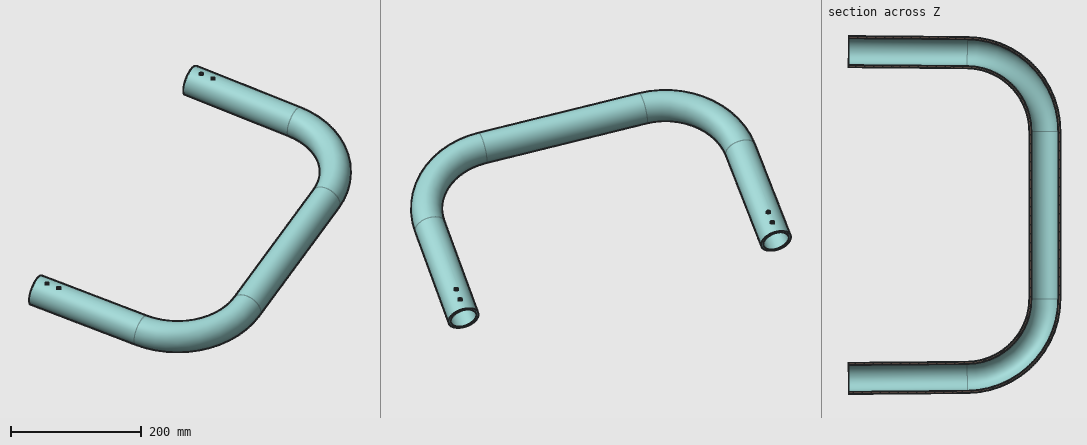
import cadquery as cq
import math

tube_diameter = 48.0
wall = 4.0

overall_width = 548.5
overall_depth = 324.5
bend_radius = 120.0
splay_angle = math.radians(0.5)

hole_diameter = 6.0
hole_distances = (18.5, 39.0)

tube_radius = tube_diameter / 2
crossbar_x = overall_depth / 2 - tube_radius
bend_center_x = crossbar_x - bend_radius
tangent_x = bend_center_x + bend_radius * math.sin(splay_angle)

end_x = -overall_depth / 2 + tube_radius * math.sin(splay_angle)
end_y = overall_width / 2 - tube_radius * math.cos(splay_angle)
leg_length = (tangent_x - end_x) / math.cos(splay_angle)
tangent_y = end_y - leg_length * math.sin(splay_angle)
bend_center_y = tangent_y - bend_radius * math.cos(splay_angle)


def leg_point(distance, side):
    """Centreline point at a distance from the open end; side is +1 or -1 in Y."""
    from_bend = leg_length - distance
    x = tangent_x - from_bend * math.cos(splay_angle)
    y = tangent_y + from_bend * math.sin(splay_angle)
    return x, side * y


def bend_middle(side):
    """Point halfway round a bend; side is +1 or -1 in Y."""
    angle = (math.pi / 2 - splay_angle) / 2
    x = bend_center_x + bend_radius * math.cos(angle)
    y = bend_center_y + bend_radius * math.sin(angle)
    return x, side * y


def make_tube():
    """Sweep the ring section along the centreline."""
    path = (
        cq.Workplane("XY")
        .moveTo(*leg_point(0, -1))
        .lineTo(tangent_x, -tangent_y)
        .threePointArc(bend_middle(-1), (crossbar_x, -bend_center_y))
        .lineTo(crossbar_x, bend_center_y)
        .threePointArc(bend_middle(1), (tangent_x, tangent_y))
        .lineTo(*leg_point(0, 1))
    )
    end_plane = cq.Plane(
        origin=(*leg_point(0, -1), 0),
        xDir=(0, 0, 1),
        normal=(math.cos(splay_angle), math.sin(splay_angle), 0),
    )
    section = cq.Workplane(end_plane).circle(tube_radius).circle(tube_radius - wall)
    return section.sweep(path)


def make_holes():
    """Vertical drills through the upper wall of both legs."""
    centers = [leg_point(distance, side) for side in (-1, 1) for distance in hole_distances]
    return cq.Workplane("XY").pushPoints(centers).circle(hole_diameter / 2).extrude(tube_diameter)


result = make_tube().cut(make_holes())